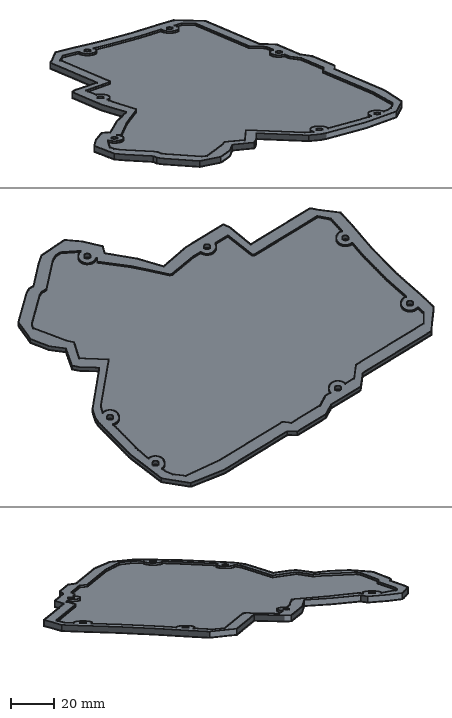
import cadquery as cq

plate_length = 165.0
plate_width = 156.0
plate_thickness = 3.0

recess_depth = 1.0
rim_width = 5.8

hole_diameter = 3.0
boss_diameter = 8.6
left_hole_x = 7.5
right_hole_x = 159.0
screw_points = [
    (left_hole_x, 128.1),
    (left_hole_x, 79.0),
    (64.7, 147.2),
    (right_hole_x, 130.4),
    (right_hole_x, 95.9),
    (108.8, 14.0),
    (61.4, 43.7),
]

left_end_middle_y = 101.2

left_end_half_height = 46.0

left_edge_half = [(1.5, 8.9), (1.0, 16.7), (0.3, 25.9), (0.0, 35.3)]
outer_left_half = left_edge_half + [(7.5, 43.2), (9.5, left_end_half_height)]
recess_left_half = [(x + rim_width, dy) for x, dy in left_edge_half] + [(9.7, left_end_half_height - rim_width)]

shoulder_y = 153.0
step_top_y = plate_width
recess_shoulder_y = shoulder_y - rim_width
recess_step_top_y = step_top_y - rim_width

outer_points = [
    (50.2, left_end_middle_y + left_end_half_height),
    (55.8, shoulder_y),
    (73.1, shoulder_y),
    (78.7, step_top_y),
    (95.4, step_top_y),
    (98.9, shoulder_y),
    (136.0, shoulder_y),
    (153.2, 149.7),
    (162.3, 139.2),
    (plate_length, 119.0),
    (plate_length, 95.2),
    (164.5, 92.0),
    (162.3, 86.8),
    (145.0, 69.7),
    (152.0, 63.7),
    (154.2, 60.9),
    (150.2, 51.2),
    (155.7, 45.2),
    (159.8, 36.6),
    (158.1, 25.3),
    (144.5, 13.9),
    (142.1, 12.7),
    (139.5, 12.7),
    (129.4, 3.6),
    (125.5, 0.7),
    (111.3, 0.0),
    (105.3, 5.8),
    (99.5, 13.9),
    (101.4, 17.7),
    (91.5, 29.4),
    (84.5, 40.6),
    (69.3, 38.0),
    (47.4, 38.0),
    (46.0, 41.0),
    (44.5, left_end_middle_y - left_end_half_height),
]

recess_points = [
    (49.7, left_end_middle_y + left_end_half_height - rim_width),
    (55.1, recess_shoulder_y),
    (72.3, recess_shoulder_y),
    (77.6, recess_step_top_y),
    (94.5, recess_step_top_y),
    (97.2, recess_shoulder_y),
    (134.4, recess_shoulder_y),
    (152.4, 145.0),
    (156.7, 140.5),
    (158.1, 137.3),
    (160.0, 125.5),
    (160.5, 119.0),
    (160.5, 95.9),
    (160.0, 91.6),
    (158.1, 87.8),
    (138.5, 68.5),
    (148.9, 59.6),
    (145.0, 50.7),
    (147.0, 47.9),
    (154.8, 32.4),
    (153.8, 29.9),
    (140.5, 18.7),
    (138.8, 17.8),
    (135.9, 17.8),
    (123.0, 6.1),
    (120.0, 4.6),
    (117.2, 4.6),
    (109.3, 9.7),
    (106.0, 18.0),
    (107.1, 19.5),
    (96.4, 31.2),
    (92.0, 37.0),
    (85.2, 46.0),
    (84.2, 46.5),
    (70.2, 44.4),
    (49.7, 44.4),
    (47.7, 60.1),
    (47.0, left_end_middle_y - left_end_half_height + rim_width),
]


def closed_outline(left_half, other_points):
    """Join the mirrored left end and the remaining points into one outline."""
    upper = [(x, left_end_middle_y + dy) for x, dy in left_half]
    lower = [(x, left_end_middle_y - dy) for x, dy in reversed(left_half)]
    return lower + upper + other_points


def prism(points, bottom_z, height):
    """Extrude a closed polygon upwards from the given level."""
    return cq.Workplane("XY").workplane(offset=bottom_z).polyline(points).close().extrude(height)


def screw_cylinders(diameter, bottom_z, height):
    """One upright cylinder at every screw position."""
    return (
        cq.Workplane("XY")
        .workplane(offset=bottom_z)
        .pushPoints(screw_points)
        .circle(diameter / 2)
        .extrude(height)
    )


floor_z = plate_thickness - recess_depth

plate = prism(closed_outline(outer_left_half, outer_points), 0, plate_thickness)

recess = prism(closed_outline(recess_left_half, recess_points), floor_z, recess_depth)
recess = recess.cut(screw_cylinders(boss_diameter, floor_z, recess_depth))

holes = screw_cylinders(hole_diameter, 0, plate_thickness)

result = plate.cut(recess).cut(holes)